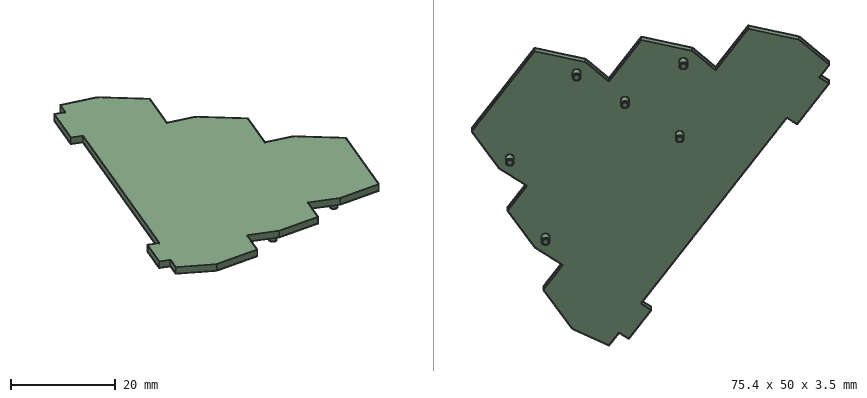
import cadquery as cq

length = 75.4
depth = 50.0
height = 3.5
plate_thickness = 1.4

tier_count = 3
tier_rise = 15.3
left_step = 13.65
right_step = 9.95
first_tier_top = depth - (tier_count - 1) * tier_rise

top_inset = 3.6
knee_top = 10.2
knee_bottom = 9.7
shoulder_inset = 1.05
shoulder_y = 2.25
undercut_slope = shoulder_inset / (knee_bottom - shoulder_y)
upper_right_trim = 0.15
bevel_slope = top_inset / (first_tier_top - knee_top)

foot_inset = 4.4
left_foot_end = 15.0
right_foot_start = 63.5
recess_y = 2.4

pin_diameter = 1.6
pin_chamfer = 0.2
upper_left_pin = (30.1, 40.8)
upper_right_pin_x = 52.3
center_pin_x = 29.6
center_pin_ys = (17.1, 29.85)


def left_side(tier):
    """Left edge points of a tier, from its knee up to its top corner."""
    x = tier * left_step
    y = tier * tier_rise
    points = [(x, knee_bottom + y), (x, knee_top + y), (x + top_inset, first_tier_top + y)]
    if tier > 0:
        base_y = first_tier_top + y - tier_rise
        undercut = (knee_bottom + y - base_y) * undercut_slope
        points.insert(0, (x + undercut, base_y))
    return points


def right_side(tier):
    """Right edge points of a tier, from its top corner down."""
    x = length - tier * right_step
    y = tier * tier_rise
    top_corner = (x - top_inset, first_tier_top + y)
    if tier == 0:
        return [top_corner, (x, knee_top), (x, knee_bottom)]
    wall_x = x - upper_right_trim
    wall_top = knee_top + y + upper_right_trim / bevel_slope
    return [top_corner, (wall_x, wall_top), (wall_x, first_tier_top + y - tier_rise)]


def make_plate():
    outline = [
        (left_foot_end, recess_y),
        (left_foot_end, 0),
        (foot_inset, 0),
        (foot_inset, shoulder_y),
        (shoulder_inset, shoulder_y),
    ]
    for tier in range(tier_count):
        outline += left_side(tier)
    for tier in reversed(range(tier_count)):
        outline += right_side(tier)
    outline += [
        (length - shoulder_inset, shoulder_y),
        (length - foot_inset, shoulder_y),
        (length - foot_inset, 0),
        (right_foot_start, 0),
        (right_foot_start, recess_y),
    ]
    plate = cq.Workplane("XY").workplane(offset=height - plate_thickness)
    return plate.polyline(outline).close().extrude(plate_thickness)


def make_pins():
    """Pins at both ends of the upper two tiers, and a pair near the middle."""
    upper_x, upper_y = upper_left_pin
    positions = [
        upper_left_pin,
        (upper_x - left_step, upper_y - tier_rise),
        (upper_right_pin_x, upper_y),
        (upper_right_pin_x + right_step, upper_y - tier_rise),
    ]
    positions += [(center_pin_x, y) for y in center_pin_ys]
    pins = cq.Workplane("XY").pushPoints(positions).circle(pin_diameter / 2)
    return pins.extrude(height - plate_thickness).faces("<Z").chamfer(pin_chamfer)


result = make_plate().union(make_pins())